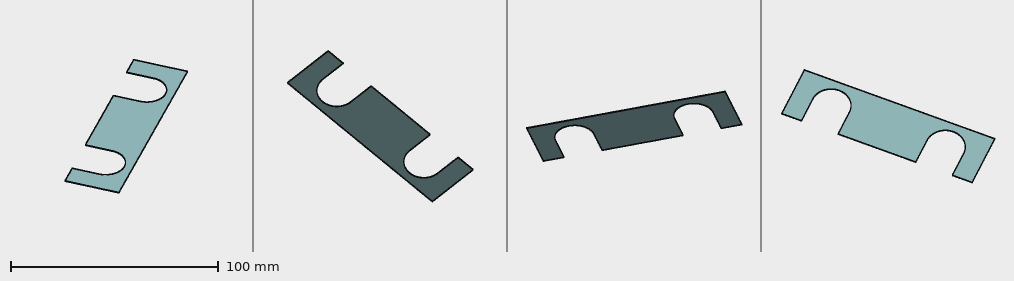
import cadquery as cq

length = 100.0
width = 27.5
thickness = 0.5

slot_width = 19.2
slot_depth = 23.3
slot_spacing = 60.0

slot_radius = slot_width / 2
arc_center_x = slot_depth - slot_radius


def slot_cutter(center_y):
    """Solid that fills one slot, from the open edge to its round end."""
    return (
        cq.Workplane("XY")
        .moveTo(0, center_y - slot_radius)
        .lineTo(arc_center_x, center_y - slot_radius)
        .threePointArc((slot_depth, center_y), (arc_center_x, center_y + slot_radius))
        .lineTo(0, center_y + slot_radius)
        .close()
        .extrude(thickness)
    )


result = cq.Workplane("XY").box(width, length, thickness, centered=(False, True, False))
for side in (-1, 1):
    result = result.cut(slot_cutter(side * slot_spacing / 2))